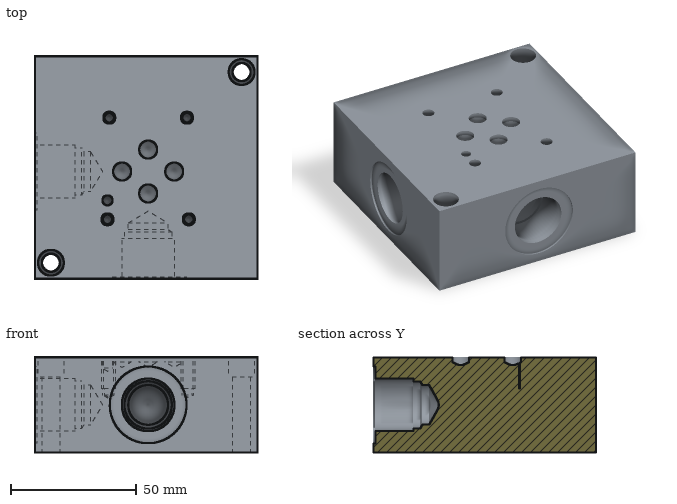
import cadquery as cq
import math

side = 88.9
height = 38.1
top = height / 2

point_angle = 118.0

mount_inset = 6.4
mount_diameter = 7.1
mount_counterbore_diameter = 10.3
mount_counterbore_depth = 8.0

pattern_x = -14.8
pattern_y = 19.8
upper_bolt_spacing = 31.0
lower_bolt_overhang = 0.7
bolt_row_spacing = 40.5
bolt_thread_diameter = 4.8
bolt_thread_depth = 12.45
bolt_core_diameter = 3.8
bolt_core_depth = 15.1

pin_drop = 33.0
pin_diameter = 4.0
pin_depth = 4.45

passage_diameter = 7.2
passage_depth = 2.0
passage_spacing_x = 20.8
upper_passage_drop = 12.7
lower_passage_drop = 30.2

pattern_center_x = pattern_x + upper_bolt_spacing / 2
pattern_center_y = pattern_y - (upper_passage_drop + lower_passage_drop) / 2

spotface_diameter = 30.7
spotface_depth = 0.8
port_thread_diameter = 21.1
port_thread_depth = 16.0
port_core_diameter = 18.9
port_core_depth = 18.7
port_drill_diameter = 15.9
port_drill_depth = 22.2


def drill(origin, direction, diameter, depth):
    """Blind round hole of full diameter to the given depth, ending in a conical drill point."""
    radius = diameter / 2
    tip_length = radius / math.tan(math.radians(point_angle / 2))
    start = cq.Vector(*origin)
    axis = cq.Vector(*direction)
    bore = cq.Solid.makeCylinder(radius, depth, start, axis)
    tip = cq.Solid.makeCone(radius, 0, tip_length, start + axis * depth, axis)
    return cq.Workplane(bore).union(cq.Workplane(tip))


def flat_bore(origin, direction, diameter, depth):
    """Round hole with a flat floor."""
    bore = cq.Solid.makeCylinder(diameter / 2, depth, cq.Vector(*origin), cq.Vector(*direction))
    return cq.Workplane(bore)


def threaded_port(origin, direction):
    """Spotface, thread bore, core bore and pilot drill on one axis."""
    port = flat_bore(origin, direction, spotface_diameter, spotface_depth)
    port = port.union(flat_bore(origin, direction, port_thread_diameter, port_thread_depth))
    port = port.union(drill(origin, direction, port_core_diameter, port_core_depth))
    return port.union(drill(origin, direction, port_drill_diameter, port_drill_depth))


def bolt_hole(origin, direction):
    """Tapped hole: thread bore over a deeper core drill."""
    thread = flat_bore(origin, direction, bolt_thread_diameter, bolt_thread_depth)
    return thread.union(drill(origin, direction, bolt_core_diameter, bolt_core_depth))


block = cq.Workplane("XY").box(side, side, height)

mount_offset = side / 2 - mount_inset
block = (
    block.faces(">Z")
    .workplane(origin=(0, 0, top))
    .pushPoints([(-mount_offset, -mount_offset), (mount_offset, mount_offset)])
    .cboreHole(mount_diameter, mount_counterbore_diameter, mount_counterbore_depth)
)

down = (0, 0, -1)
upper_bolt_offset = upper_bolt_spacing / 2
lower_bolt_offset = upper_bolt_offset + lower_bolt_overhang
lower_bolt_y = pattern_y - bolt_row_spacing
for offset, y in [(upper_bolt_offset, pattern_y), (lower_bolt_offset, lower_bolt_y)]:
    for x in (pattern_center_x - offset, pattern_center_x + offset):
        block = block.cut(bolt_hole((x, y, top), down))

pin_x = pattern_center_x - lower_bolt_offset
block = block.cut(drill((pin_x, pattern_y - pin_drop, top), down, pin_diameter, pin_depth))

passages = [
    (pattern_center_x, pattern_y - upper_passage_drop),
    (pattern_center_x, pattern_y - lower_passage_drop),
    (pattern_center_x - passage_spacing_x / 2, pattern_center_y),
    (pattern_center_x + passage_spacing_x / 2, pattern_center_y),
]
for x, y in passages:
    block = block.cut(drill((x, y, top), down, passage_diameter, passage_depth))

block = block.cut(threaded_port((pattern_center_x, -side / 2, 0), (0, 1, 0)))
block = block.cut(threaded_port((-side / 2, pattern_center_y, 0), (1, 0, 0)))

result = block